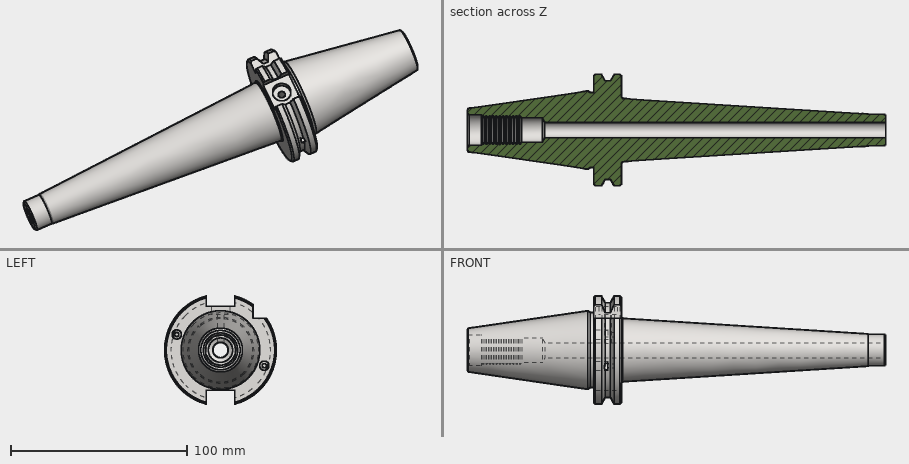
import cadquery as cq
import math

total_length = 237.5
taper_length = 68.4
flange_gap = 3.3
flange_start = taper_length + flange_gap
flange_width = 16.0
flange_end = flange_start + flange_width
nose_length = 10.7
nose_start = total_length - nose_length

taper_radius = 22.3
taper_slope = 7 / 48
taper_tip_radius = taper_radius - taper_slope * taper_length
tip_chamfer_length = 0.7
tip_face_radius = 11.2
neck_radius = 21.4
neck_step_length = 1.5

flange_radius = 63.5 / 2
rim_chamfer = 1.0
groove_center = flange_start + 8.0
groove_half_width = 3.5
groove_depth = 3.5
groove_half_angle = math.radians(30)
groove_floor_half = groove_half_width - groove_depth * math.tan(groove_half_angle)

shank_radius = 18.0
shank_tip_radius = 9.3
root_chamfer = 0.7
nose_radius = 9.0
nose_step_length = 0.7
nose_chamfer = 1.0

slot_width = 16.1
top_slot_floor = 25.0
bottom_slot_floor = 22.8
notch_side = 18.5
notch_floor = 18.0

chip_radius = 5.2
chip_depth = 4.5
chip_hole_radius = 2.0

coolant_radius = 2.5
coolant_circle = 26.4
coolant_angle = 19.6
coolant_depth = groove_center - flange_start
coolant_pilot_radius = 1.2
coolant_pilot_depth = coolant_depth + 3.5

mouth_radius = 9.7
pilot_radius = 8.5
pilot_length = 8.0
thread_minor_radius = 7.0
thread_major_radius = 8.0
thread_pitch = 2.0
thread_turns = 12
thread_bore_end = 42.5
drill_half_angle = math.radians(59)
through_radius = 4.3


def revolve_about_x(points):
    """Solid of revolution about X from a closed (x, radius) outline."""
    return cq.Workplane("XZ").polyline(points).close().revolve(360, (0, 0, 0), (1, 0, 0))


def box_between(x_range, y_range, z_range):
    size = [end - start for start, end in (x_range, y_range, z_range)]
    corner = (x_range[0], y_range[0], z_range[0])
    return cq.Workplane("XY").box(*size, centered=False).translate(corner)


def make_body():
    rim_inner = flange_radius - rim_chamfer
    groove_floor = flange_radius - groove_depth
    return revolve_about_x([
        (0, 0),
        (0, tip_face_radius),
        (tip_chamfer_length, taper_tip_radius + taper_slope * tip_chamfer_length),
        (taper_length, taper_radius),
        (taper_length + neck_step_length, neck_radius),
        (flange_start, neck_radius),
        (flange_start, rim_inner),
        (flange_start + rim_chamfer, flange_radius),
        (groove_center - groove_half_width, flange_radius),
        (groove_center - groove_floor_half, groove_floor),
        (groove_center + groove_floor_half, groove_floor),
        (groove_center + groove_half_width, flange_radius),
        (flange_end - rim_chamfer, flange_radius),
        (flange_end, rim_inner),
        (flange_end, shank_radius + root_chamfer),
        (flange_end + root_chamfer, shank_radius),
        (nose_start, shank_tip_radius),
        (nose_start + nose_step_length, nose_radius),
        (total_length - nose_chamfer, nose_radius),
        (total_length, nose_radius - nose_chamfer),
        (total_length, 0),
    ])


def make_bore():
    mouth_length = mouth_radius - pilot_radius
    cone_length = (thread_minor_radius - through_radius) / math.tan(drill_half_angle)
    bore = revolve_about_x([
        (0, 0),
        (0, mouth_radius),
        (mouth_length, pilot_radius),
        (pilot_length, pilot_radius),
        (pilot_length, thread_minor_radius),
        (thread_bore_end, thread_minor_radius),
        (thread_bore_end + cone_length, through_radius),
        (total_length, through_radius),
        (total_length, 0),
    ])
    for turn in range(thread_turns):
        start = pilot_length + turn * thread_pitch
        bore = bore.union(revolve_about_x([
            (start, 0),
            (start, thread_minor_radius),
            (start + thread_pitch / 2, thread_major_radius),
            (start + thread_pitch, thread_minor_radius),
            (start + thread_pitch, 0),
        ]))
    return bore


def make_flange_cuts():
    """Two driving slots and the corner notch, all running the flange width."""
    along = (flange_start, flange_end)
    across = (-slot_width / 2, slot_width / 2)
    top_slot = box_between(along, across, (top_slot_floor, flange_radius))
    bottom_slot = box_between(along, across, (-flange_radius, -bottom_slot_floor))
    notch = box_between(along, (-flange_radius, -notch_side), (notch_floor, flange_radius))
    return top_slot.union(bottom_slot).union(notch)


def make_chip_pocket():
    top = cq.Workplane("XY", origin=(groove_center, 0, top_slot_floor))
    pocket = top.circle(chip_radius).extrude(-chip_depth)
    return pocket.union(top.circle(chip_hole_radius).extrude(-top_slot_floor))


def make_coolant_holes():
    centers = cq.Workplane("YZ", origin=(flange_start, 0, 0)).polarArray(
        coolant_circle, coolant_angle, 360, 2
    )
    wide_part = centers.circle(coolant_radius).extrude(coolant_depth)
    return wide_part.union(centers.circle(coolant_pilot_radius).extrude(coolant_pilot_depth))


result = (
    make_body()
    .cut(make_flange_cuts())
    .cut(make_chip_pocket())
    .cut(make_coolant_holes())
    .cut(make_bore())
)